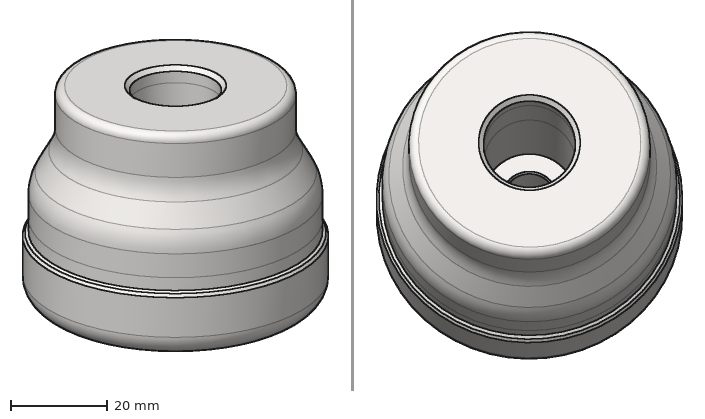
import cadquery as cq
import math

BASE_RADIUS = 31.75
BASE_FOOT_FILLET = 5.0
BASE_WALL_TOP = 14.0
SHOULDER_BREAK_RADIUS = 31.25
SHOULDER_BREAK_HEIGHT = 14.7
BASE_HEIGHT = 15.05
SCREW_HOLE_RADIUS = 5.3
SCREW_HOLE_CHAMFER = 0.4

TOTAL_HEIGHT = 48.0
SKIRT_RADIUS = 30.55
NECK_RADIUS = 25.0
SKIRT_SEAM_HEIGHT = 18.05
SKIRT_TOP = 23.4
FLARE_BEND_RADIUS = 10.0
FLARE_ANGLE = math.radians(30)
TOP_FILLET = 2.0
BORE_RADIUS = 9.5
BORE_CHAMFER = 1.0
BORE_SEAM_HEIGHTS = (35.75, 44.45)


def bend_point(center_x, center_z, radius, angle):
    """Point on a bend; the angle is counter-clockwise from +X."""
    return center_x + radius * math.cos(angle), center_z + radius * math.sin(angle)


def revolve(half_section):
    """Turn a closed XZ half-section around the Z axis, keeping the face divisions."""
    return half_section.close().revolve(360, (0, 0, 0), (0, 1, 0), clean=False)


def make_base():
    """Round foot with a sloped two-step shoulder and a chamfered screw hole."""
    foot_center = (BASE_RADIUS - BASE_FOOT_FILLET, BASE_FOOT_FILLET)
    section = (
        cq.Workplane("XZ")
        .moveTo(SCREW_HOLE_RADIUS, 0)
        .lineTo(foot_center[0], 0)
        .threePointArc(
            bend_point(*foot_center, BASE_FOOT_FILLET, -math.pi / 4),
            (BASE_RADIUS, BASE_FOOT_FILLET),
        )
        .lineTo(BASE_RADIUS, BASE_WALL_TOP)
        .lineTo(SHOULDER_BREAK_RADIUS, SHOULDER_BREAK_HEIGHT)
        .lineTo(SKIRT_RADIUS, BASE_HEIGHT)
        .lineTo(SCREW_HOLE_RADIUS + SCREW_HOLE_CHAMFER, BASE_HEIGHT)
        .lineTo(SCREW_HOLE_RADIUS, BASE_HEIGHT - SCREW_HOLE_CHAMFER)
    )
    return revolve(section)


def make_housing():
    """Bell that stands on the base, with an S-shaped flare and a straight bore."""
    bend_rise = FLARE_BEND_RADIUS * math.sin(FLARE_ANGLE)
    bend_run = FLARE_BEND_RADIUS * (1 - math.cos(FLARE_ANGLE))
    cone_run = SKIRT_RADIUS - NECK_RADIUS - 2 * bend_run
    cone_bottom = SKIRT_TOP + bend_rise
    cone_top = cone_bottom + cone_run / math.tan(FLARE_ANGLE)
    neck_bottom = cone_top + bend_rise

    lower_center = (SKIRT_RADIUS - FLARE_BEND_RADIUS, SKIRT_TOP)
    upper_center = (NECK_RADIUS + FLARE_BEND_RADIUS, neck_bottom)
    top_center = (NECK_RADIUS - TOP_FILLET, TOTAL_HEIGHT - TOP_FILLET)

    section = (
        cq.Workplane("XZ")
        .moveTo(BORE_RADIUS, BASE_HEIGHT)
        .lineTo(SKIRT_RADIUS, BASE_HEIGHT)
        .lineTo(SKIRT_RADIUS, SKIRT_SEAM_HEIGHT)
        .lineTo(SKIRT_RADIUS, SKIRT_TOP)
        .threePointArc(
            bend_point(*lower_center, FLARE_BEND_RADIUS, FLARE_ANGLE / 2),
            (SKIRT_RADIUS - bend_run, cone_bottom),
        )
        .lineTo(NECK_RADIUS + bend_run, cone_top)
        .threePointArc(
            bend_point(*upper_center, FLARE_BEND_RADIUS, math.pi + FLARE_ANGLE / 2),
            (NECK_RADIUS, neck_bottom),
        )
        .lineTo(NECK_RADIUS, TOTAL_HEIGHT - TOP_FILLET)
        .threePointArc(
            bend_point(*top_center, TOP_FILLET, math.pi / 4),
            (NECK_RADIUS - TOP_FILLET, TOTAL_HEIGHT),
        )
        .lineTo(BORE_RADIUS + BORE_CHAMFER, TOTAL_HEIGHT)
        .lineTo(BORE_RADIUS, TOTAL_HEIGHT - BORE_CHAMFER)
    )
    for seam_height in reversed(BORE_SEAM_HEIGHTS):
        section = section.lineTo(BORE_RADIUS, seam_height)
    return revolve(section)


base = make_base()
housing = make_housing()

result = cq.Compound.makeCompound([base.val(), housing.val()])